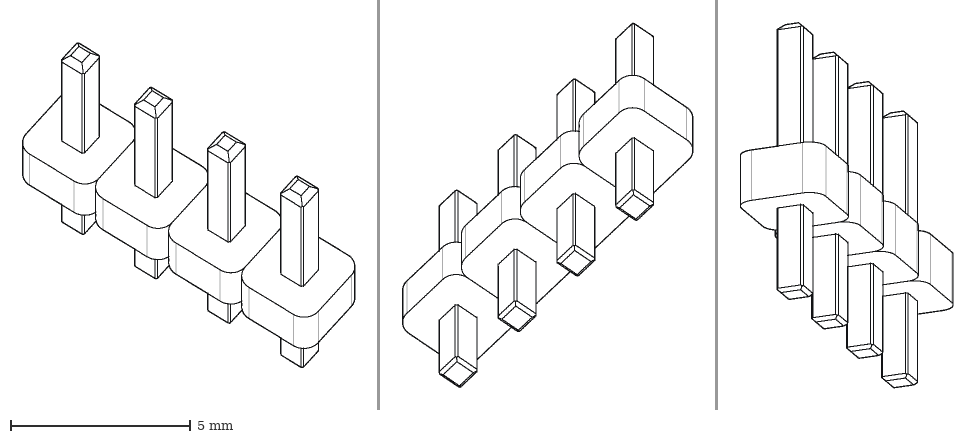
import cadquery as cq

pin_count = 4
row_length = 10.16
pitch = row_length / pin_count

block_height = 1.5
block_corner_radius = 0.5

pin_width = 0.8
pin_above_block = 4.0
pin_below_block = 2.49
pin_length = pin_below_block + block_height + pin_above_block
pin_edge_chamfer = 0.056
pin_top_chamfer = 0.2
pin_bottom_chamfer = 0.1
pin_offset = 0.025


def make_pin(x):
    """Square pin for the block at x, with a pyramid tip on top, a small tip below and bevelled long edges."""
    bar = (
        cq.Workplane("XY", origin=(x + pin_offset, pin_offset, -pin_below_block))
        .rect(pin_width, pin_width)
        .extrude(pin_length)
    )
    tipped = bar.faces(">Z").chamfer(pin_top_chamfer).faces("<Z").chamfer(pin_bottom_chamfer)
    return tipped.edges("|Z").chamfer(pin_edge_chamfer)


def make_block(x, pin):
    """Housing block with rounded upright corners and a hole that fits its pin."""
    block = (
        cq.Workplane("XY", origin=(x, 0, 0))
        .rect(pitch, pitch)
        .extrude(block_height)
        .edges("|Z")
        .fillet(block_corner_radius)
    )
    return block.cut(pin)


pins = []
blocks = []
for index in range(pin_count):
    position = (index - (pin_count - 1) / 2) * pitch
    pin = make_pin(position)
    pins.append(pin.val())
    blocks.append(make_block(position, pin).val())

result = cq.Compound.makeCompound([*blocks, *pins])